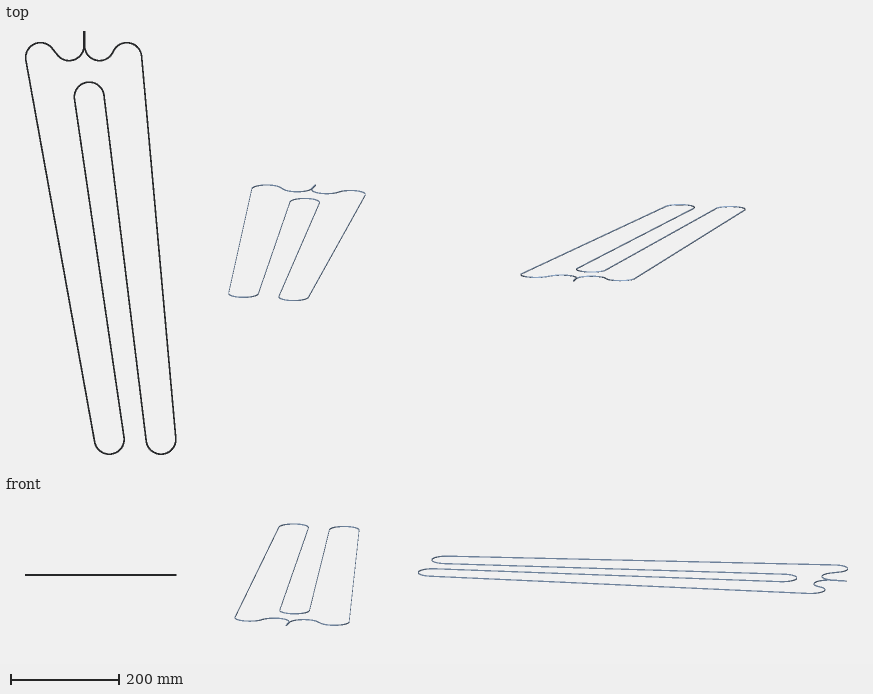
import cadquery as cq
import math


OVERALL_X = 278.99
OVERALL_Y = 782.34
STRIP_HEIGHT = 2.1
STRIP_THICKNESS = 1.1
BEND_RADIUS = 27.5
LEAD_GAP = 0.1

LEAD_AXIS_X = -30.4
LEAD_BEND_Y = 365.0
SHOULDER_SPACING = 159.66
SHOULDER_Y = 343.23
MIDDLE_BEND_X = -21.34
MIDDLE_BEND_Y = 270.23
FOOT_SPACING = 95.63

BEND_REACH = BEND_RADIUS + STRIP_THICKNESS / 2
LEFT_SHOULDER_X = BEND_REACH - OVERALL_X / 2
RIGHT_SHOULDER_X = LEFT_SHOULDER_X + SHOULDER_SPACING
RIGHT_FOOT_X = OVERALL_X / 2 - BEND_REACH
LEFT_FOOT_X = RIGHT_FOOT_X - FOOT_SPACING
FOOT_Y = BEND_REACH - OVERALL_Y / 2

LEAD_END_Y = OVERALL_Y / 2
LEAD_OFFSET = (LEAD_GAP + STRIP_THICKNESS) / 2
LEFT_LEAD_X = LEAD_AXIS_X - LEAD_OFFSET
RIGHT_LEAD_X = LEAD_AXIS_X + LEAD_OFFSET

LEFT_TURN = 1
RIGHT_TURN = -1
DOWN = -math.pi / 2
UP = math.pi / 2

BENDS = [
    ((LEFT_LEAD_X - BEND_RADIUS, LEAD_BEND_Y), RIGHT_TURN),
    ((LEFT_SHOULDER_X, SHOULDER_Y), LEFT_TURN),
    ((LEFT_FOOT_X, FOOT_Y), LEFT_TURN),
    ((MIDDLE_BEND_X, MIDDLE_BEND_Y), RIGHT_TURN),
    ((RIGHT_FOOT_X, FOOT_Y), LEFT_TURN),
    ((RIGHT_SHOULDER_X, SHOULDER_Y), LEFT_TURN),
    ((RIGHT_LEAD_X + BEND_RADIUS, LEAD_BEND_Y), RIGHT_TURN),
]


def leg_heading(bend, next_bend):
    """Direction angle of the straight leg tangent to two consecutive bends."""
    (x, y), turn = bend
    (next_x, next_y), next_turn = next_bend
    distance = math.hypot(next_x - x, next_y - y)
    sideways = (next_turn - turn) * BEND_RADIUS
    return math.atan2(next_y - y, next_x - x) - math.asin(sideways / distance)


def point_on_bend(bend, heading):
    """Centreline point where the strip running round a bend has the given heading."""
    (x, y), turn = bend
    return (
        x + turn * BEND_RADIUS * math.sin(heading),
        y - turn * BEND_RADIUS * math.cos(heading),
    )


def halfway_heading(heading_in, heading_out, turn):
    """Heading reached halfway round a bend that turns one way only."""
    swept = (turn * (heading_out - heading_in)) % (2 * math.pi)
    return heading_in + turn * swept / 2


def make_centreline():
    """Centreline from the end of the left lead to the end of the right lead."""
    headings = [DOWN]
    for bend, next_bend in zip(BENDS, BENDS[1:]):
        headings.append(leg_heading(bend, next_bend))
    headings.append(UP)

    path = cq.Workplane("XY").moveTo(LEFT_LEAD_X, LEAD_END_Y)
    for bend, heading_in, heading_out in zip(BENDS, headings, headings[1:]):
        middle = halfway_heading(heading_in, heading_out, bend[1])
        path = path.lineTo(*point_on_bend(bend, heading_in))
        path = path.threePointArc(point_on_bend(bend, middle), point_on_bend(bend, heading_out))
    return path.lineTo(RIGHT_LEAD_X, LEAD_END_Y)


def make_strip():
    """Strip section swept along the centreline."""
    lead_end = cq.Workplane("XZ", origin=(LEFT_LEAD_X, LEAD_END_Y, 0))
    section = lead_end.rect(STRIP_THICKNESS, STRIP_HEIGHT)
    return section.sweep(make_centreline())


result = make_strip()